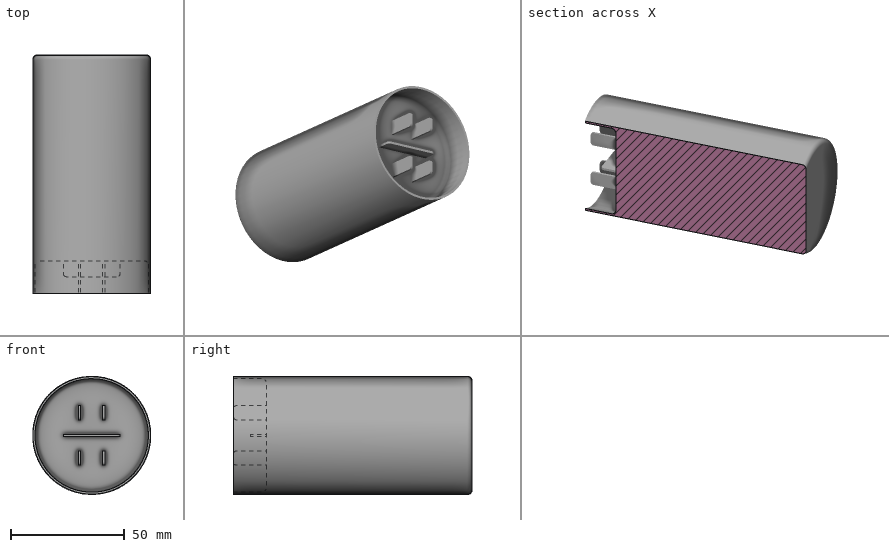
import cadquery as cq

can_length = 105.0
can_diameter = 52.0
wall = 1.0
end_round = 2.0
floor_round = 2.0
recess_depth = 14.5

blade_thickness = 1.0
blade_width = 6.3
blade_length = recess_depth
blade_spacing_x = 10.7
blade_spacing_z = 20.0
tip_round = 1.4

divider_thickness = 1.0
divider_width = 25.0
divider_length = 7.0

root_overlap = 0.5


def make_can():
    """Closed can with its rim at Y = 0 and its floor at Y = recess_depth."""
    body = (
        cq.Workplane("XZ")
        .circle(can_diameter / 2)
        .extrude(-can_length)
        .faces(">Y").edges().fillet(end_round)
    )
    recess = (
        cq.Workplane("XZ")
        .circle(can_diameter / 2 - wall)
        .extrude(-recess_depth)
        .faces(">Y").edges().fillet(floor_round)
    )
    return body.cut(recess)


def make_tab(size_x, size_z, length, round_axis):
    """Flat tab rising from the floor toward -Y, its two free corners rounded."""
    return (
        cq.Workplane("XY")
        .box(size_x, length + root_overlap, size_z, centered=(True, False, True))
        .faces("<Y").edges("|" + round_axis).fillet(tip_round)
        .translate((0, recess_depth - length, 0))
    )


result = make_can()
result = result.union(make_tab(divider_width, divider_thickness, divider_length, "Z"))
blade = make_tab(blade_thickness, blade_width, blade_length, "X")
for side_x in (-1, 1):
    for side_z in (-1, 1):
        offset = (side_x * blade_spacing_x / 2, 0, side_z * blade_spacing_z / 2)
        result = result.union(blade.translate(offset))

result = result.translate((0, -can_length / 2, 0))